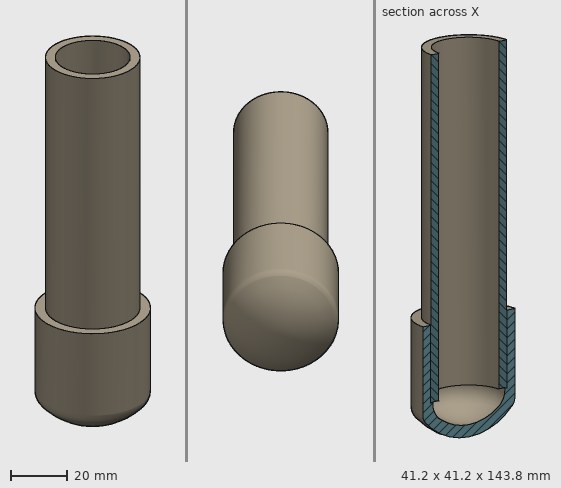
import cadquery as cq
import math

pipe_diameter = 33.66
pipe_bore = 26.64
pipe_exposed_length = 99.7
socket_depth = 28.6

cap_diameter = 41.17
cap_height = 44.13
cap_cavity_diameter = 31.75
outer_dome_radius = 26.5
outer_corner_radius = 4.3
inner_corner_radius = 7.3

wall = (cap_diameter - cap_cavity_diameter) / 2
inner_dome_radius = outer_dome_radius - wall
dome_center_z = outer_dome_radius - cap_height


def arc_point(center_r, center_z, radius, angle):
    """Point on an arc in the R-Z half plane; the angle is measured from straight down."""
    return (center_r + radius * math.sin(angle), center_z - radius * math.cos(angle))


def domed_plug(diameter, dome_radius, corner_radius):
    """Solid with a flat top at Z = 0 and a domed bottom blended by a tangent corner arc."""
    plug_radius = diameter / 2
    corner_center_r = plug_radius - corner_radius
    center_distance = dome_radius - corner_radius
    tangent_angle = math.asin(corner_center_r / center_distance)
    corner_center_z = dome_center_z - center_distance * math.cos(tangent_angle)
    mid_corner_angle = (tangent_angle + math.pi / 2) / 2

    return (
        cq.Workplane("XZ")
        .lineTo(plug_radius, 0)
        .lineTo(plug_radius, corner_center_z)
        .threePointArc(
            arc_point(corner_center_r, corner_center_z, corner_radius, mid_corner_angle),
            arc_point(0, dome_center_z, dome_radius, tangent_angle),
        )
        .threePointArc(
            arc_point(0, dome_center_z, dome_radius, tangent_angle / 2),
            arc_point(0, dome_center_z, dome_radius, 0),
        )
        .close()
        .revolve(360, (0, 0, 0), (0, 1, 0))
    )


def make_cap():
    """Domed cap with a domed cavity and a wider socket that leaves a ledge for the pipe."""
    body = domed_plug(cap_diameter, outer_dome_radius, outer_corner_radius)
    cavity = domed_plug(cap_cavity_diameter, inner_dome_radius, inner_corner_radius)
    socket = cq.Workplane("XY").circle(pipe_diameter / 2).extrude(-socket_depth)
    return body.cut(cavity).cut(socket)


def make_pipe():
    """Straight pipe standing on the socket ledge."""
    return (
        cq.Workplane("XY", origin=(0, 0, -socket_depth))
        .circle(pipe_diameter / 2)
        .circle(pipe_bore / 2)
        .extrude(socket_depth + pipe_exposed_length)
    )


cap = make_cap()
pipe = make_pipe()

result = cq.Compound.makeCompound([cap.val(), pipe.val()])